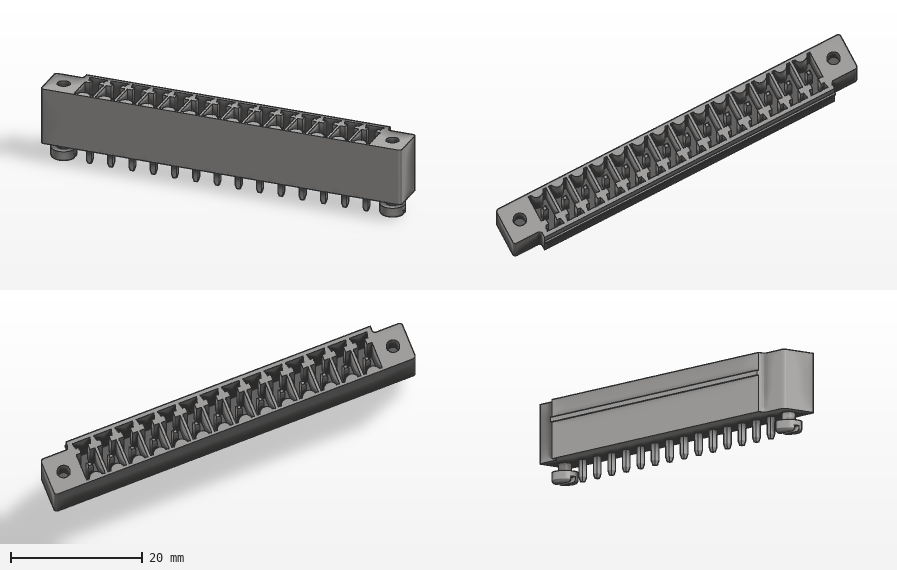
import cadquery as cq

pole_count = 14
pitch = 3.5
overall_length = 59.3
housing_height = 9.2
center_length = 50.0
center_depth = 7.25
ear_depth = 6.05
corner_radius = 0.5

rib_projection = 0.3
rib_height = 0.75
rib_drop = 3.15

chamber_width = 3.05
chamber_front = 0.47
shoulder_y = 4.75
neck_end_y = 5.7
chamber_back = 6.6
neck_width = 1.45
dovetail_narrow_width = 2.45
dovetail_wide_width = 2.9
floor_thickness = 1.2
chamber_depth = housing_height - floor_thickness
key_radius = 1.1
key_center_y = 0.15

pin_width = 0.85
pin_y = 3.0
pin_tip_width = 0.5
pin_tip_length = 0.7
pin_below = 3.4
pin_top_z = 8.0

screw_spacing = 54.1
screw_y = pin_y
shank_diameter = 2.0
head_diameter = 4.0
head_top_z = -1.38
head_bottom_z = -3.05
head_edge_radius = 0.5
slot_width = 0.9
slot_depth = 0.85

socket_diameter = 2.0
socket_depth = 4.0

pole_positions = [(i - (pole_count - 1) / 2) * pitch for i in range(pole_count)]
screw_positions = [-screw_spacing / 2, screw_spacing / 2]


def make_block(length, depth):
    """Full-height block centred on X with its front face at Y = 0."""
    return cq.Workplane("XY").box(length, depth, housing_height, centered=(True, False, False))


def vertical_edges_near(x, y):
    """Selector for the full-height edges at (+x, y) and (-x, y)."""
    reach = corner_radius / 2
    boxes = [
        cq.selectors.BoxSelector(
            (side * x - reach, y - reach, 0),
            (side * x + reach, y + reach, housing_height),
        )
        for side in (-1, 1)
    ]
    return boxes[0] + boxes[1]


def make_housing():
    """Central block between two shallower ears, with a latching rib behind."""
    housing = make_block(overall_length, ear_depth)
    housing = housing.union(make_block(center_length, center_depth))
    housing = housing.edges("|Z").edges(
        vertical_edges_near(overall_length / 2, 0)
        + vertical_edges_near(overall_length / 2, ear_depth)
        + vertical_edges_near(center_length / 2, ear_depth)
    ).fillet(corner_radius)
    rib = (
        cq.Workplane("XY")
        .box(center_length, 2 * rib_projection, rib_height)
        .translate((0, center_depth, housing_height - rib_drop))
    )
    return housing.union(rib)


def make_chamber(x):
    """Cavity for one pole: main bay, neck and dovetail, less a round key on the front wall."""
    right_side = [
        (chamber_width / 2, chamber_front),
        (chamber_width / 2, shoulder_y),
        (neck_width / 2, shoulder_y),
        (neck_width / 2, neck_end_y),
        (dovetail_narrow_width / 2, neck_end_y),
        (dovetail_wide_width / 2, chamber_back),
    ]
    left_side = [(-px, py) for px, py in reversed(right_side)]
    floor = cq.Workplane("XY").workplane(offset=floor_thickness)
    chamber = floor.polyline(right_side + left_side).close().extrude(chamber_depth)
    key = floor.center(0, key_center_y).circle(key_radius).extrude(chamber_depth)
    return chamber.cut(key).translate((x, 0, 0))


def make_pin_tip(base_z, length):
    """Tapered pin end starting at base_z; a negative length points it down."""
    return (
        cq.Workplane("XY")
        .workplane(offset=base_z)
        .rect(pin_width, pin_width)
        .workplane(offset=length)
        .rect(pin_tip_width, pin_tip_width)
        .loft()
    )


def make_pin(x):
    """Square pin tapered at both ends."""
    shaft_bottom = pin_tip_length - pin_below
    shaft_top = pin_top_z - pin_tip_length
    shaft = (
        cq.Workplane("XY")
        .workplane(offset=shaft_bottom)
        .rect(pin_width, pin_width)
        .extrude(shaft_top - shaft_bottom)
    )
    pin = shaft.union(make_pin_tip(shaft_top, pin_tip_length))
    pin = pin.union(make_pin_tip(shaft_bottom, -pin_tip_length))
    return pin.translate((x, pin_y, 0))


def make_screw(x):
    """Slotted screw below an ear, its shank reaching the ear's bottom face."""
    shank = cq.Workplane("XY").circle(shank_diameter / 2).extrude(head_top_z)
    head = (
        cq.Workplane("XY")
        .workplane(offset=head_bottom_z)
        .circle(head_diameter / 2)
        .extrude(head_top_z - head_bottom_z)
        .faces("<Z")
        .edges()
        .fillet(head_edge_radius)
    )
    slot = (
        cq.Workplane("XY")
        .box(head_diameter, slot_width, slot_depth, centered=(True, True, False))
        .translate((0, 0, head_bottom_z))
    )
    return head.cut(slot).union(shank).translate((x, screw_y, 0))


def make_socket(x):
    """Round blind hole in the top of an ear."""
    return (
        cq.Workplane("XY")
        .workplane(offset=housing_height)
        .center(x, screw_y)
        .circle(socket_diameter / 2)
        .extrude(-socket_depth)
    )


result = make_housing()
for pole_x in pole_positions:
    result = result.cut(make_chamber(pole_x)).union(make_pin(pole_x))
for screw_x in screw_positions:
    result = result.cut(make_socket(screw_x)).union(make_screw(screw_x))